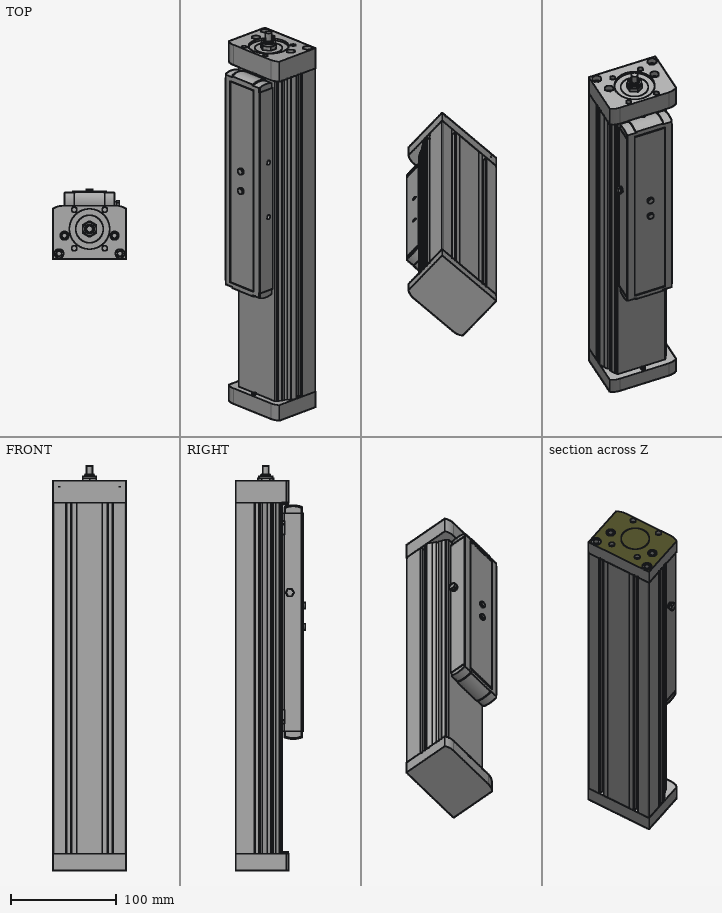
import cadquery as cq
import math


TOTAL_LENGTH = 382.0
SHAFT_PROTRUSION = 14.0
LOWER_BLOCK_HEIGHT = 16.0
UPPER_BLOCK_HEIGHT = 20.7
UPPER_BLOCK_TOP = TOTAL_LENGTH - SHAFT_PROTRUSION
UPPER_BLOCK_BASE = UPPER_BLOCK_TOP - UPPER_BLOCK_HEIGHT
PROFILE_LENGTH = UPPER_BLOCK_BASE - LOWER_BLOCK_HEIGHT

BLOCK_WIDTH = 69.0
BLOCK_SIDE_DEPTH = 47.6
BLOCK_DEPTH = 50.4
SHOULDER_WIDTH = 9.0
BUMPER_Y = 47.7
BUMPER_NECK_DIAMETER = 2.4
BUMPER_NECK_LENGTH = 1.3
BUMPER_HEAD_DIAMETER = 4.13
BUMPER_HEAD_THICKNESS = 0.7

SHAFT_Y = 28.4
PILOT_DIAMETER = 38.0
PILOT_DEPTH = 2.0
PILOT_FLOOR = UPPER_BLOCK_TOP - PILOT_DEPTH
FLANGE_HOLE_DIAMETER = 4.92
FLANGE_HOLE_DEPTH = 10.0
FLANGE_HOLE_X = 14.4
FLANGE_HOLE_Y_OFFSET = 18.2
SCREW_HEAD_DEPTH = 6.0
SCREW_HOLE_DIAMETER = 5.0
SIDE_SCREW_HEAD_DIAMETER = 8.0
SIDE_SCREW_X = 23.6
SIDE_SCREW_Y = 22.1
CORNER_SCREW_HEAD_DIAMETER = 8.57
CORNER_SCREW_X = 28.7
CORNER_SCREW_Y = 5.2

BEARING_CAP_DIAMETER = 26.0
BEARING_CAP_THICKNESS = 8.0
NUT_WIDTH = 13.0
NUT_HEX_HEIGHT = 4.0
NUT_HEIGHT = 6.3
COLLAR_DIAMETER = 9.0
COLLAR_HEIGHT = 1.5
COLLAR_CHAMFER = 0.7
SHAFT_DIAMETER = 6.0

PROFILE_WIDTH = 69.0
PROFILE_EDGE_WIDTH = 1.2
PROFILE_EDGE_DEPTH = 0.3
PROFILE_DEPTH = 44.0
TAPER_START_Y = 25.3
TAPER_ANGLE = 26.0
BAND_START_Y = 29.9
BAND_END_Y = 38.0
BAND_DEPTH = 0.3
BAND_GROOVE_START_Y = 33.4
BAND_GROOVE_END_Y = 35.7
BAND_GROOVE_DEPTH = 2.0
CREST_START_Y = 41.4
CREST_STEP = 0.3
CREST_CHAMFER = 1.3
SLOT_MOUTH = 5.7
SLOT_OPENING = 3.5
SLOT_DEPTH = 4.0
SIDE_SLOT_Y = 20.25
FRONT_SLOT_X = 19.5
RELIEF_WIDTH = 24.2
RELIEF_DEPTH = 0.2

CARRIAGE_CENTRE_Z = 234.4
CARRIAGE_BODY_LENGTH = 206.0
CARRIAGE_WIDTH = 47.4
CARRIAGE_BASE_Y = 46.0
CARRIAGE_TOP_Y = 63.0
CARRIAGE_EDGE_CHAMFER = 0.8
CAP_SIDE_LENGTH = 6.3
CAP_MIDDLE_LENGTH = 7.4
CAP_MIDDLE_WIDTH = 29.0
CAP_BULGE = 1.8
CAP_EDGE_CHAMFER = 0.8
CAP_SIDE_INSET = 0.3
COVER_WIDTH = 31.5
COVER_TOP_Y = 63.9
SLEEVE_TOP_Y = 65.9
SLEEVE_DIAMETER = 6.0
SLEEVE_PITCH = 20.0
SLEEVE_CENTRE_Z = 240.0
PORT_Y = 51.2
PORT_PITCH = 55.8
PORT_DIAMETER = 4.13
PORT_DEPTH = 5.0
NIPPLE_NECK_DIAMETER = 6.0
NIPPLE_NECK_LENGTH = 2.0
NIPPLE_HEX_WIDTH = 7.0
NIPPLE_HEX_LENGTH = 2.6

FOOT_WIDTH = 30.0
CENTRE_FOOT_LENGTH = 165.7
END_FOOT_LENGTH = 7.6
GUIDE_BAR_LENGTH = 1.0
GUIDE_BAR_INSET = 9.9

HEX_CORNER_RATIO = 1.0 / math.cos(math.radians(30.0))


def box_between(x_range, y_range, z_range):
    """Box spanning the given (low, high) ranges."""
    size = [high - low for low, high in (x_range, y_range, z_range)]
    corner = (x_range[0], y_range[0], z_range[0])
    return cq.Workplane("XY").box(*size, centered=False).translate(corner)


def cylinder_z(x, y, z, diameter, height):
    """Cylinder along Z that starts at z and rises by height."""
    return cq.Workplane("XY", origin=(x, y, z)).circle(diameter / 2).extrude(height)



def end_block(base_z, height):
    """Plain end block: flat crest with an arc running down each shoulder, tangent to the crest."""
    half = BLOCK_WIDTH / 2
    crest_x = half - SHOULDER_WIDTH
    drop = BLOCK_DEPTH - BLOCK_SIDE_DEPTH
    radius = (SHOULDER_WIDTH ** 2 + drop ** 2) / (2 * drop)
    half_sweep = math.atan2(drop, SHOULDER_WIDTH)
    mid_x = crest_x + radius * math.sin(half_sweep)
    mid_y = BLOCK_DEPTH - radius * (1 - math.cos(half_sweep))
    return (
        cq.Workplane("XY", origin=(0, 0, base_z))
        .moveTo(-half, 0)
        .lineTo(half, 0)
        .lineTo(half, BLOCK_SIDE_DEPTH)
        .threePointArc((mid_x, mid_y), (crest_x, BLOCK_DEPTH))
        .lineTo(-crest_x, BLOCK_DEPTH)
        .threePointArc((-mid_x, mid_y), (-half, BLOCK_SIDE_DEPTH))
        .close()
        .extrude(height)
    )


def bumper(face_z, direction):
    """Headed bumper on a block face, pointing up (+1) or down (-1) towards the carriage."""
    neck = cylinder_z(0, BUMPER_Y, face_z, BUMPER_NECK_DIAMETER, direction * BUMPER_NECK_LENGTH)
    head_z = face_z + direction * BUMPER_NECK_LENGTH
    head = cylinder_z(0, BUMPER_Y, head_z, BUMPER_HEAD_DIAMETER, direction * BUMPER_HEAD_THICKNESS)
    return neck.union(head)


def screw_hole_pair(x, y, head_diameter):
    """Two mirrored counterbored holes down through the upper block."""
    return (
        cq.Workplane("XY", origin=(0, y, UPPER_BLOCK_TOP))
        .pushPoints([(-x, 0), (x, 0)])
        .circle(head_diameter / 2)
        .extrude(-SCREW_HEAD_DEPTH)
        .pushPoints([(-x, 0), (x, 0)])
        .circle(SCREW_HOLE_DIAMETER / 2)
        .extrude(-UPPER_BLOCK_HEIGHT)
    )


lower_block = end_block(0, LOWER_BLOCK_HEIGHT).union(bumper(LOWER_BLOCK_HEIGHT, 1))

pilot = cylinder_z(0, SHAFT_Y, UPPER_BLOCK_TOP, PILOT_DIAMETER, -PILOT_DEPTH)
bearing_seat = cylinder_z(0, SHAFT_Y, PILOT_FLOOR, BEARING_CAP_DIAMETER, -BEARING_CAP_THICKNESS)
flange_holes = (
    cq.Workplane("XY", origin=(0, SHAFT_Y, UPPER_BLOCK_TOP))
    .rect(2 * FLANGE_HOLE_X, 2 * FLANGE_HOLE_Y_OFFSET, forConstruction=True)
    .vertices()
    .circle(FLANGE_HOLE_DIAMETER / 2)
    .extrude(-FLANGE_HOLE_DEPTH)
)
upper_block = (
    end_block(UPPER_BLOCK_BASE, UPPER_BLOCK_HEIGHT)
    .union(bumper(UPPER_BLOCK_BASE, -1))
    .cut(pilot)
    .cut(bearing_seat)
    .cut(flange_holes)
    .cut(screw_hole_pair(SIDE_SCREW_X, SIDE_SCREW_Y, SIDE_SCREW_HEAD_DIAMETER))
    .cut(screw_hole_pair(CORNER_SCREW_X, CORNER_SCREW_Y, CORNER_SCREW_HEAD_DIAMETER))
)



def lock_nut():
    """Hexagon nut with corners along Y and a round collar on top as wide as its flats."""
    hexagon = (
        cq.Workplane("XY", origin=(0, SHAFT_Y, PILOT_FLOOR))
        .transformed(rotate=(0, 0, 90))
        .polygon(6, NUT_WIDTH * HEX_CORNER_RATIO)
        .extrude(NUT_HEX_HEIGHT)
    )
    return hexagon.union(cylinder_z(0, SHAFT_Y, PILOT_FLOOR, NUT_WIDTH, NUT_HEIGHT))


cap_base = PILOT_FLOOR - BEARING_CAP_THICKNESS
nut_top = PILOT_FLOOR + NUT_HEIGHT
collar = cylinder_z(0, SHAFT_Y, nut_top, COLLAR_DIAMETER, COLLAR_HEIGHT).faces(">Z").chamfer(COLLAR_CHAMFER)
shaft = (
    cylinder_z(0, SHAFT_Y, cap_base, BEARING_CAP_DIAMETER, BEARING_CAP_THICKNESS)
    .union(lock_nut())
    .union(collar)
    .union(cylinder_z(0, SHAFT_Y, nut_top, SHAFT_DIAMETER, TOTAL_LENGTH - nut_top))
)



def taper_x(y, inset=0.0):
    """Half width of the tapered upper part at height y, less an inset."""
    return PROFILE_WIDTH / 2 - (y - TAPER_START_Y) * math.tan(math.radians(TAPER_ANGLE)) - inset


def profile_blank():
    """Half outline from the front edge up to the crest, mirrored and extruded."""
    half = PROFILE_WIDTH / 2
    groove_middle_y = (BAND_GROOVE_START_Y + BAND_GROOVE_END_Y) / 2
    crest_chamfer_y = PROFILE_DEPTH - CREST_CHAMFER
    half_outline = [
        (0, 0),
        (half - PROFILE_EDGE_WIDTH, 0),
        (half, PROFILE_EDGE_DEPTH),
        (half, TAPER_START_Y),
        (taper_x(BAND_START_Y), BAND_START_Y),
        (taper_x(BAND_START_Y, BAND_DEPTH), BAND_START_Y),
        (taper_x(BAND_GROOVE_START_Y, BAND_DEPTH), BAND_GROOVE_START_Y),
        (taper_x(groove_middle_y, BAND_GROOVE_DEPTH), groove_middle_y),
        (taper_x(BAND_GROOVE_END_Y, BAND_DEPTH), BAND_GROOVE_END_Y),
        (taper_x(BAND_END_Y, BAND_DEPTH), BAND_END_Y),
        (taper_x(BAND_END_Y), BAND_END_Y),
        (taper_x(CREST_START_Y), CREST_START_Y),
        (taper_x(CREST_START_Y, CREST_STEP), CREST_START_Y),
        (taper_x(crest_chamfer_y, CREST_STEP), crest_chamfer_y),
        (taper_x(crest_chamfer_y, CREST_STEP + CREST_CHAMFER), PROFILE_DEPTH),
        (0, PROFILE_DEPTH),
    ]
    right_half = cq.Workplane("XY", origin=(0, 0, LOWER_BLOCK_HEIGHT)).polyline(half_outline).close()
    right_half = right_half.extrude(PROFILE_LENGTH)
    return right_half.union(right_half.mirror("YZ"))


def slot(face_x, face_y, angle):
    """Chamfered slot along Z, cut inwards from a face point; angle 0 cuts towards +Y."""
    lip = (SLOT_MOUTH - SLOT_OPENING) / 2
    return (
        cq.Workplane("XY", origin=(face_x, face_y, LOWER_BLOCK_HEIGHT))
        .transformed(rotate=(0, 0, angle))
        .polyline([
            (-SLOT_MOUTH / 2, 0),
            (SLOT_MOUTH / 2, 0),
            (SLOT_OPENING / 2, lip),
            (SLOT_OPENING / 2, SLOT_DEPTH),
            (-SLOT_OPENING / 2, SLOT_DEPTH),
            (-SLOT_OPENING / 2, lip),
        ])
        .close()
        .extrude(PROFILE_LENGTH)
    )


front_relief = box_between(
    (-RELIEF_WIDTH / 2, RELIEF_WIDTH / 2),
    (0, RELIEF_DEPTH),
    (LOWER_BLOCK_HEIGHT, UPPER_BLOCK_BASE),
)
profile = profile_blank().cut(front_relief)
for side in (-1, 1):
    profile = profile.cut(slot(side * FRONT_SLOT_X, 0, 0))
    profile = profile.cut(slot(side * PROFILE_WIDTH / 2, SIDE_SLOT_Y, side * 90))



body_low = CARRIAGE_CENTRE_Z - CARRIAGE_BODY_LENGTH / 2
body_high = CARRIAGE_CENTRE_Z + CARRIAGE_BODY_LENGTH / 2
carriage_half_width = CARRIAGE_WIDTH / 2


def cap_prism(width, length):
    """Section of the upper end cap, centred on X = 0, with a bulged end and chamfered long edges."""
    end_z = body_high + length
    shoulder_z = end_z - CAP_BULGE
    middle_y = (CARRIAGE_BASE_Y + CARRIAGE_TOP_Y) / 2
    return (
        cq.Workplane("YZ", origin=(-width / 2, 0, 0))
        .moveTo(CARRIAGE_BASE_Y, body_high)
        .lineTo(CARRIAGE_TOP_Y, body_high)
        .lineTo(CARRIAGE_TOP_Y, shoulder_z)
        .threePointArc((middle_y, end_z), (CARRIAGE_BASE_Y, shoulder_z))
        .close()
        .extrude(width)
        .edges("|Z")
        .chamfer(CAP_EDGE_CHAMFER)
    )


def end_cap():
    """Upper cap: a longer middle section between two side sections."""
    sides = cap_prism(CARRIAGE_WIDTH - 2 * CAP_SIDE_INSET, CAP_SIDE_LENGTH)
    middle = cap_prism(CAP_MIDDLE_WIDTH, CAP_MIDDLE_LENGTH)
    return sides.union(middle)


def end_feet():
    """End foot and guide bar under the upper end of the carriage."""
    across = (-FOOT_WIDTH / 2, FOOT_WIDTH / 2)
    height = (PROFILE_DEPTH, CARRIAGE_BASE_Y)
    foot = box_between(across, height, (body_high - END_FOOT_LENGTH, body_high))
    bar_high = body_high - GUIDE_BAR_INSET
    return foot.union(box_between(across, height, (bar_high - GUIDE_BAR_LENGTH, bar_high)))


def grease_nipple(z):
    """Hexagon-headed nipple on the +X flank, hexagon corners along Y."""
    hex_x = carriage_half_width + NIPPLE_NECK_LENGTH
    neck = (
        cq.Workplane("YZ", origin=(carriage_half_width, PORT_Y, z))
        .circle(NIPPLE_NECK_DIAMETER / 2)
        .extrude(NIPPLE_NECK_LENGTH)
    )
    head = (
        cq.Workplane("YZ", origin=(hex_x, PORT_Y, z))
        .polygon(6, NIPPLE_HEX_WIDTH * HEX_CORNER_RATIO)
        .extrude(NIPPLE_HEX_LENGTH)
    )
    return neck.union(head)


carriage = box_between(
    (-carriage_half_width, carriage_half_width),
    (CARRIAGE_BASE_Y, CARRIAGE_TOP_Y),
    (body_low, body_high),
).edges(">Y and |Z").chamfer(CARRIAGE_EDGE_CHAMFER)
carriage = carriage.union(box_between(
    (-COVER_WIDTH / 2, COVER_WIDTH / 2),
    (CARRIAGE_TOP_Y, COVER_TOP_Y),
    (body_low, body_high),
))
carriage = carriage.union(box_between(
    (-FOOT_WIDTH / 2, FOOT_WIDTH / 2),
    (PROFILE_DEPTH, CARRIAGE_BASE_Y),
    (CARRIAGE_CENTRE_Z - CENTRE_FOOT_LENGTH / 2, CARRIAGE_CENTRE_Z + CENTRE_FOOT_LENGTH / 2),
))
for end_part in (end_cap(), end_feet()):
    carriage = carriage.union(end_part)
    carriage = carriage.union(end_part.mirror("XY", (0, 0, CARRIAGE_CENTRE_Z)))
for offset in (-SLEEVE_PITCH / 2, SLEEVE_PITCH / 2):
    sleeve = (
        cq.Workplane("XZ", origin=(0, COVER_TOP_Y, SLEEVE_CENTRE_Z + offset))
        .circle(SLEEVE_DIAMETER / 2)
        .extrude(COVER_TOP_Y - SLEEVE_TOP_Y)
    )
    carriage = carriage.union(sleeve)
for offset in (-PORT_PITCH / 2, PORT_PITCH / 2):
    port = (
        cq.Workplane("YZ", origin=(-carriage_half_width, PORT_Y, CARRIAGE_CENTRE_Z + offset))
        .circle(PORT_DIAMETER / 2)
        .extrude(PORT_DEPTH)
    )
    carriage = carriage.cut(port)
carriage = carriage.union(grease_nipple(CARRIAGE_CENTRE_Z + PORT_PITCH / 2))

result = cq.Compound.makeCompound([
    lower_block.val(),
    upper_block.val(),
    profile.val(),
    carriage.val(),
    shaft.val(),
])